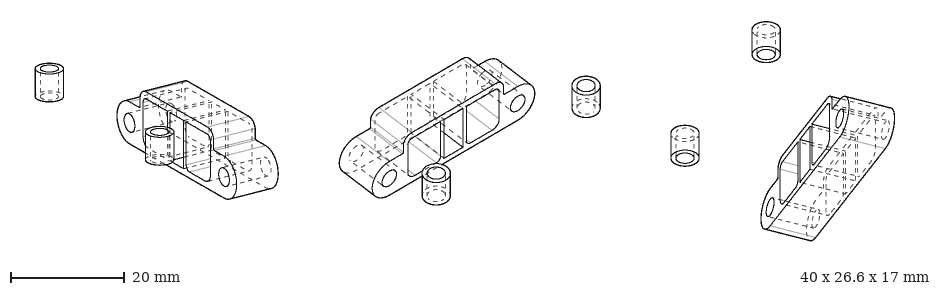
import cadquery as cq

bracket_depth = 8.8
bracket_height = 11.7
hole_spacing = 30.0
hole_diameter = 3.4
end_diameter = 8.0
box_width = 23.4
box_corner_radius = 2.0
corner_overhang = 0.05
foot_fillet_radius = 0.25
bracket_offset_x = -0.1

floor_thickness = 1.2
roof_thickness = 1.35
rib_thickness = 0.8
middle_window_width = 4.4
side_window_width = 7.7
window_top_radius = 1.0
window_bottom_outer_radius = 1.7
window_bottom_inner_radius = 1.0

sleeve_diameter = 5.0
sleeve_bore = 3.2
sleeve_top = 17.0
sleeve_height = 5.3
sleeve_spacing = 40.0 - sleeve_diameter
overall_depth = 26.6

end_radius = end_diameter / 2
window_height = bracket_height - floor_thickness - roof_thickness
window_middle_z = floor_thickness + window_height / 2
side_window_x = middle_window_width / 2 + rib_thickness + side_window_width / 2
sleeve_y = sleeve_diameter / 2 - (overall_depth - bracket_depth)


def block(width, height, x, z):
    """Block centred on x and z, running through the full bracket depth from y = 0."""
    return (
        cq.Workplane("XY")
        .box(width, bracket_depth, height, centered=(True, False, True))
        .translate((x, 0, z))
    )


def make_outer_shape():
    end_centres = [(-hole_spacing / 2, end_radius), (hole_spacing / 2, end_radius)]
    ends = cq.Workplane("XZ").pushPoints(end_centres).circle(end_radius).extrude(-bracket_depth)
    plate = block(hole_spacing, end_diameter, 0, end_radius).union(ends)
    rounded_block = block(box_width + 2 * corner_overhang, bracket_height, 0, bracket_height / 2)
    rounded_block = rounded_block.faces(">Z").edges("|Y").fillet(box_corner_radius)
    box = rounded_block.intersect(block(box_width, bracket_height, 0, bracket_height / 2))
    body = plate.union(box).clean()
    for side in (-1, 1):
        foot_point = (side * box_width / 2, bracket_depth / 2, end_diameter)
        foot_edge = cq.selectors.NearestToPointSelector(foot_point)
        body = body.edges("|Y").edges(foot_edge).fillet(foot_fillet_radius)
    return body


def make_side_window(side):
    """Side window; side is -1 for the left one and 1 for the right one."""
    window = block(side_window_width, window_height, side * side_window_x, window_middle_z)
    outer, inner = (">X", "<X") if side > 0 else ("<X", ">X")
    window = window.faces(">Z").edges(f"|Y and {outer}").fillet(window_top_radius)
    window = window.faces("<Z").edges(f"|Y and {outer}").fillet(window_bottom_outer_radius)
    return window.faces("<Z").edges(f"|Y and {inner}").fillet(window_bottom_inner_radius)


def make_bracket():
    bracket = make_outer_shape()
    bracket = bracket.cut(block(middle_window_width, window_height, 0, window_middle_z))
    for side in (-1, 1):
        bracket = bracket.cut(make_side_window(side))
        hole = (
            cq.Workplane("XZ")
            .center(side * hole_spacing / 2, end_radius)
            .circle(hole_diameter / 2)
            .extrude(-bracket_depth)
        )
        bracket = bracket.cut(hole)
    return bracket.translate((bracket_offset_x, 0, 0))


def make_sleeve(x):
    return (
        cq.Workplane("XY", origin=(x, sleeve_y, sleeve_top - sleeve_height))
        .circle(sleeve_diameter / 2)
        .circle(sleeve_bore / 2)
        .extrude(sleeve_height)
    )


bracket = make_bracket()
sleeves = [make_sleeve(side * sleeve_spacing / 2) for side in (-1, 1)]

result = cq.Compound.makeCompound([bracket.val(), *[sleeve.val() for sleeve in sleeves]])